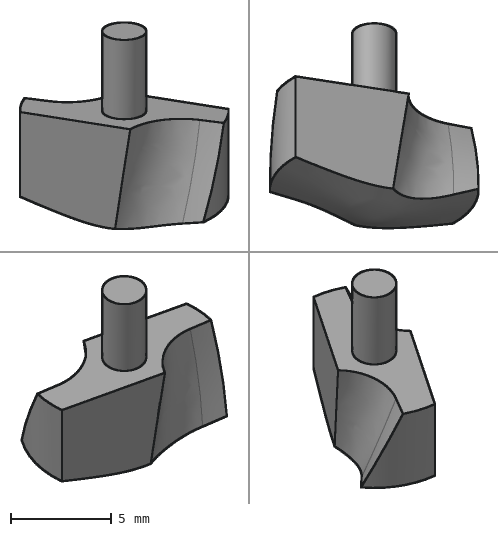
import cadquery as cq
import math

total_height = 10.5
cutter_diameter = 10.4
cutter_thickness = 4.17
cutter_top = 6.2
shank_diameter = 2.2

point_height = 1.6

flute_radius = 3.1
flat_inner_end = 3.95
flute_top_angle = 4.0
flute_twist = 23.3
flute_overrun = 0.21
flute_reach = 7.35

cutter_radius = cutter_diameter / 2
twist_per_height = flute_twist / (cutter_top - point_height)


def make_blade():
    """Round cutter with a conical point, trimmed to a flat-sided blade."""
    revolved = (
        cq.Workplane("XZ")
        .polyline([
            (0, 0),
            (cutter_radius, point_height),
            (cutter_radius, cutter_top),
            (0, cutter_top),
        ])
        .close()
        .revolve(360, (0, 0), (0, 1))
    )
    slab = cq.Workplane("XY").box(
        cutter_diameter, cutter_thickness, cutter_top, centered=(True, True, False)
    )
    return revolved.intersect(slab)


def make_flute():
    """Twisted cutting volume for the flute on the +X side."""
    diagonal = flute_radius * math.sqrt(0.5)
    arc_middle = (flat_inner_end - diagonal, diagonal - flute_radius)
    arc_end = (flat_inner_end - flute_radius, -flute_radius)
    cut_height = cutter_top + 2 * flute_overrun
    start_angle = flute_top_angle - twist_per_height * (cutter_top + flute_overrun)
    return (
        cq.Workplane("XY")
        .moveTo(flute_reach, 0)
        .lineTo(flat_inner_end, 0)
        .threePointArc(arc_middle, arc_end)
        .lineTo(arc_end[0], -flute_reach)
        .lineTo(flute_reach, -flute_reach)
        .close()
        .twistExtrude(cut_height, twist_per_height * cut_height)
        .rotate((0, 0, 0), (0, 0, 1), start_angle)
        .translate((0, 0, -flute_overrun))
    )


def make_shank():
    """Cylindrical shank standing on the cutter top."""
    return (
        cq.Workplane("XY")
        .workplane(offset=cutter_top)
        .circle(shank_diameter / 2)
        .extrude(total_height - cutter_top)
    )


result = make_blade()
flute = make_flute()
for flute_angle in (0, 180):
    result = result.cut(flute.rotate((0, 0, 0), (0, 0, 1), flute_angle))
result = result.union(make_shank())